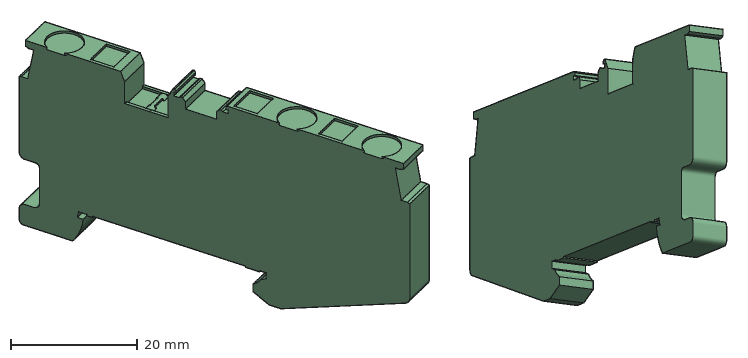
import cadquery as cq

length = 71.7
thickness = 6.2
height = 35.4

shoulder_z = 28.25
shoulder_bevel_run = 0.4
shoulder_bevel_drop = 0.15
neck_foot_inset = 1.6
neck_top_inset = 2.65
cap_inset = 1.15
cap_underside_inset = 1.8
cap_underside_z = 34.05
cap_lip_z = 34.35

slot_left = 19.35
slot_right = 27.3
slot_floor_z = 29.55
slot_flare = 0.7
slot_flare_z = 33.7

groove_centre = 33.375
groove_half_width = 2.83
groove_floor_z = 32.3
groove_wall_z = 33.6
ridge_z = 34.3
ridge_near = 3.4
ridge_far = 3.7
ridge_foot = 4.0
latch_floor_z = 34.05
latch_back = 4.98
latch_lip = 4.55
latch_lip_z = 34.7
hook_top = 4.8
hook_top_width = 0.3
hook_side_z = 35.1

notch_depth = 3.7
notch_top_z = 12.6
notch_bottom_z = 4.0
left_end_round = 1.1
notch_top_round = 0.7
heel_round = 0.85
foot_toe_x = 9.8
foot_bulge = (11.1, 2.2)
foot_tip = (11.75, 4.8)
foot_hook_x = 10.7

rail_face_z = 5.95
pad_z = 5.75
rail_left = 10.9
rail_right = 45.3
left_pad = (12.4, 13.5)
right_pad = (41.5, 44.1)

claw_profile = [(rail_right, 4.8), (44.4, 4.4), (43.8, 3.65), (42.9, 2.95), (42.9, 1.6), (45.9, 0)]
slope_start_x = 48.05
slope_end = (70.7, 8.75)
slope_bend = (71.4, 9.25)
right_wall_bottom_z = 10.05

recess_depth = 0.4
round_recess_radius = 3.15
round_recess_y = -0.35
round_recess_xs = (6.75, 49.4, 64.95)
window_length = 4.3
window_width = 5.0
window_xs = (14.9, 41.2, 56.8)

bar_centre = 23.4
bar_width = 1.5
waist_width = 0.7
waist_length = 2.45


def right_end_points():
    """Right shoulder, neck and cap, from the shoulder up to the top face."""
    return [
        (length, shoulder_z - shoulder_bevel_drop),
        (length - shoulder_bevel_run, shoulder_z),
        (length - neck_foot_inset, shoulder_z),
        (length - neck_top_inset, cap_underside_z),
        (length - cap_underside_inset, cap_underside_z),
        (length - cap_inset, cap_lip_z),
        (length - cap_inset, height),
    ]


def latch_points(side):
    """One latch profile from the hook down to the groove floor; side is -1 (left) or 1 (right)."""
    offsets = [
        (latch_lip, hook_side_z),
        (latch_lip, latch_lip_z),
        (latch_back, latch_lip_z),
        (latch_back, latch_floor_z),
        (ridge_foot, latch_floor_z),
        (ridge_far, ridge_z),
        (ridge_near, ridge_z),
        (groove_half_width, groove_wall_z),
        (groove_half_width, groove_floor_z),
    ]
    return [(groove_centre + side * dx, z) for dx, z in offsets]


def pad_points(pad):
    """A shallow pad standing down from the rail face, given its two ends along X."""
    start, end = pad
    return [(start, rail_face_z), (start, pad_z), (end, pad_z), (end, rail_face_z)]


def add_lines(outline, points):
    for x, z in points:
        outline = outline.lineTo(x, z)
    return outline


def body():
    """The block outline, drawn counter-clockwise from the bottom left and extruded across Y."""
    outline = cq.Workplane("XZ", origin=(0, thickness / 2, 0)).moveTo(0, 0)

    outline = outline.lineTo(foot_toe_x, 0).threePointArc(foot_bulge, foot_tip)
    outline = add_lines(outline, [
        (foot_hook_x, foot_tip[1]),
        (rail_left, rail_face_z),
        *pad_points(left_pad),
        *pad_points(right_pad),
        (rail_right, rail_face_z),
    ])
    outline = add_lines(outline, claw_profile)
    outline = add_lines(outline, [(slope_start_x, 0), slope_end])
    outline = outline.threePointArc(slope_bend, (length, right_wall_bottom_z))

    outline = add_lines(outline, right_end_points())
    outline = outline.lineTo(groove_centre + hook_top, height)
    outline = add_lines(outline, latch_points(1))
    outline = add_lines(outline, reversed(latch_points(-1)))
    outline = add_lines(outline, [
        (groove_centre - hook_top, height),
        (groove_centre - hook_top - hook_top_width, height),
        (slot_right, slot_flare_z),
        (slot_right, slot_floor_z),
        (slot_left, slot_floor_z),
        (slot_left, slot_flare_z),
        (slot_left - slot_flare, height),
    ])

    outline = add_lines(outline, [(length - x, z) for x, z in reversed(right_end_points())])
    outline = add_lines(outline, [
        (0, notch_top_z),
        (notch_depth, notch_top_z),
        (notch_depth, notch_bottom_z),
        (0, notch_bottom_z),
    ])
    return outline.close().extrude(thickness)


def round_edge(solid, x, z, radius):
    """Round the edge running across the thickness at one corner of the outline."""
    edge = solid.edges(cq.selectors.NearestToPointSelector((x, 0, z)))
    return edge.fillet(radius)


def round_left_end(solid):
    solid = round_edge(solid, 0, notch_top_z, left_end_round)
    solid = round_edge(solid, notch_depth, notch_top_z, notch_top_round)
    solid = round_edge(solid, notch_depth, notch_bottom_z, left_end_round)
    solid = round_edge(solid, 0, notch_bottom_z, left_end_round)
    return round_edge(solid, 0, 0, heel_round)


def top_recesses():
    floor = cq.Workplane("XY", origin=(0, 0, height - recess_depth))
    rounds = floor.pushPoints([(x, round_recess_y) for x in round_recess_xs])
    rounds = rounds.circle(round_recess_radius).extrude(recess_depth)
    windows = floor.pushPoints([(x, 0) for x in window_xs])
    windows = windows.rect(window_length, window_width).extrude(recess_depth)
    return rounds.union(windows)


def slot_recess():
    """Recess over the whole slot floor, less the waisted bar left standing in it."""
    floor_z = slot_floor_z - recess_depth
    recess = cq.Workplane("XY").box(
        slot_right - slot_left, window_width, recess_depth, centered=(False, True, False)
    ).translate((slot_left, 0, floor_z))

    bar = (
        cq.Workplane("XZ", origin=(bar_centre, window_width / 2, floor_z))
        .moveTo(-bar_width / 2, 0)
        .threePointArc((0, recess_depth), (bar_width / 2, 0))
        .close()
        .extrude(window_width)
    )
    side_cut = (bar_width - waist_width) / 2
    for side in (-1, 1):
        cut_x = bar_centre + side * (waist_width + side_cut) / 2
        cutter = cq.Workplane("XY").box(side_cut, waist_length, 2 * recess_depth)
        bar = bar.cut(cutter.translate((cut_x, 0, floor_z)))
    return recess.cut(bar)


result = round_left_end(body()).cut(top_recesses()).cut(slot_recess())